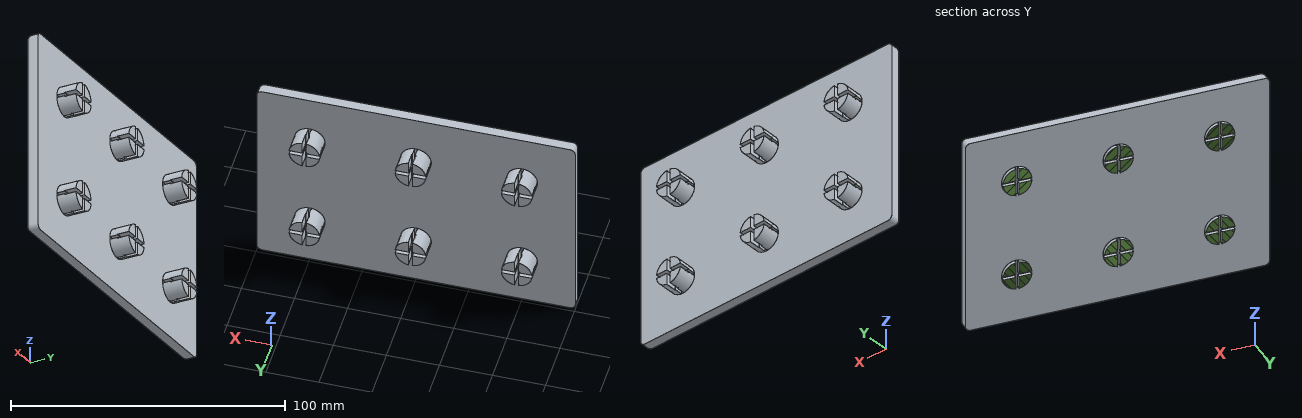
import cadquery as cq

plate_length = 120.0
plate_height = 80.0
plate_thickness = 5.2
edge_radius = 2.0

total_depth = 13.1
pin_diameter = 11.5
pin_columns = 3
pin_rows = 2
pin_pitch = plate_length / pin_columns
pin_root_depth = 2.0

narrow_slot_width = 1.1
wide_slot_width = 1.5
narrow_slot_height = 3.2

plate_back = plate_thickness
pin_height = total_depth - plate_thickness


def disc(x, z, start_y, length):
    """Round pin blank along +Y, starting at start_y."""
    axis_start = cq.Vector(x, start_y, z)
    return cq.Workplane(cq.Solid.makeCylinder(pin_diameter / 2, length, axis_start, cq.Vector(0, 1, 0)))


def cross_slot(x, z, start_y, width, depth):
    """Two crossing slots, along X and along Z, that run right through the pin."""
    middle = (x, start_y + depth / 2, z)
    along_x = cq.Workplane().box(pin_diameter, depth, width).translate(middle)
    along_z = cq.Workplane().box(width, depth, pin_diameter).translate(middle)
    return along_x.union(along_z)


def make_plate(pin_places):
    """Plate with rounded corners, a rounded front rim and a seat for every pin."""
    plate = cq.Workplane().box(plate_length, plate_thickness, plate_height)
    plate = plate.translate((0, plate_thickness / 2, 0))
    plate = plate.edges("|Y or <Y").fillet(edge_radius)
    for x, z in pin_places:
        plate = plate.cut(disc(x, z, plate_back - pin_root_depth, pin_root_depth))
    return plate


def make_pin(x, z):
    """Round pin split into four prongs above its seated root."""
    pin = disc(x, z, plate_back - pin_root_depth, pin_root_depth + pin_height)
    pin = pin.cut(cross_slot(x, z, plate_back, narrow_slot_width, pin_height))
    wide_slot_start = plate_back + narrow_slot_height
    wide_slot_depth = pin_height - narrow_slot_height
    return pin.cut(cross_slot(x, z, wide_slot_start, wide_slot_width, wide_slot_depth))


pin_places = [
    ((column - (pin_columns - 1) / 2) * pin_pitch, (row - (pin_rows - 1) / 2) * pin_pitch)
    for column in range(pin_columns)
    for row in range(pin_rows)
]

plate = make_plate(pin_places)
pins = [make_pin(x, z) for x, z in pin_places]

result = cq.Compound.makeCompound([plate.val(), *[pin.val() for pin in pins]])